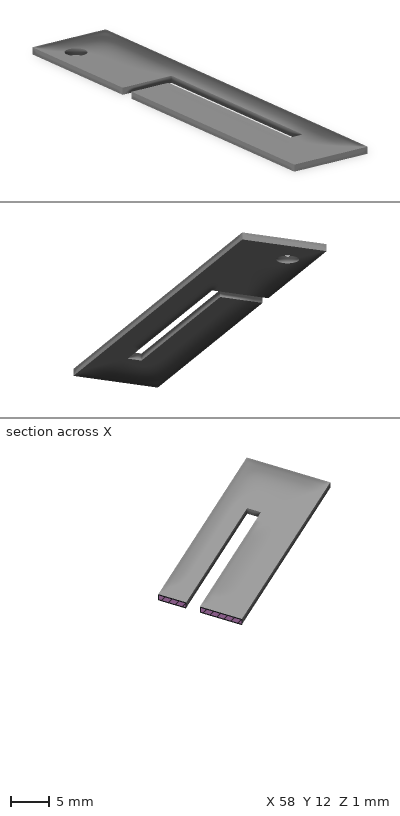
import cadquery as cq

length = 58.0
width = 12.0
thickness = 1.0

tab_length = 20.0
slot_width = 2.0
slot_end = 49.0
back_strip_width = 4.0

hole_diameter = 3.0
hole_from_left = 5.0
hole_from_front = 3.5


def box_from_corner(x, y, size_x, size_y):
    """Block of plate thickness with its lower left corner at (x, y)."""
    return cq.Workplane("XY").box(size_x, size_y, thickness, centered=False).translate((x, y, 0))


plate = box_from_corner(0, 0, length, width)

slot_back = width - back_strip_width
entry_leg = box_from_corner(tab_length, 0, slot_width, slot_back)
long_leg = box_from_corner(tab_length, slot_back - slot_width, slot_end - tab_length, slot_width)

hole = (
    cq.Workplane("XY")
    .center(hole_from_left, hole_from_front)
    .circle(hole_diameter / 2)
    .extrude(thickness)
)

result = plate.cut(entry_leg).cut(long_leg).cut(hole)